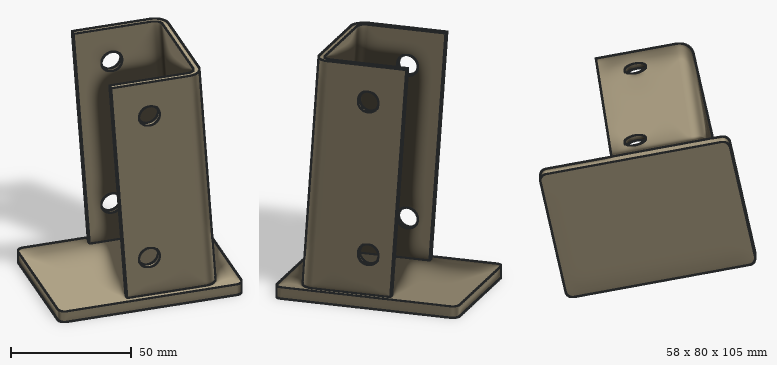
import cadquery as cq

plate_width = 58.0
plate_length = 80.0
plate_thickness = 5.0
plate_corner_radius = 3.0

total_height = 105.0
channel_width = 52.0
channel_depth = 40.0
wall = 2.5
outer_bend_radius = 6.0
inner_bend_radius = outer_bend_radius - wall
lean_angle = 4.0
channel_back_y = 30.5

hole_diameter = 9.0
hole_y = 0.0
lower_hole_z = 22.5
hole_spacing = 66.7


def make_plate():
    plate = cq.Workplane("XY").box(
        plate_width, plate_length, plate_thickness, centered=(True, True, False)
    )
    return plate.edges("|Z").fillet(plate_corner_radius)


def u_block(width, depth, back_y, length, bend_radius):
    """Upright block centred on Z = 0 with its two back edges rounded."""
    block = cq.Workplane("XY").box(width, depth, length)
    block = block.translate((0, back_y - depth / 2, 0))
    return block.edges("|Z and >Y").fillet(bend_radius)


def make_channel():
    raw_length = 3 * total_height
    outer = u_block(channel_width, channel_depth, 0, raw_length, outer_bend_radius)
    inner = u_block(channel_width - 2 * wall, channel_depth, -wall, raw_length, inner_bend_radius)
    channel = outer.cut(inner)
    channel = channel.rotate((0, 0, 0), (1, 0, 0), lean_angle)
    channel = channel.translate((0, channel_back_y, plate_thickness))

    trim_span = 2 * plate_length
    trim = cq.Workplane("XY").workplane(offset=plate_thickness)
    trim = trim.rect(trim_span, trim_span).extrude(total_height - plate_thickness)
    return channel.intersect(trim)


def make_holes():
    hole_centers = [(hole_y, lower_hole_z + i * hole_spacing) for i in range(2)]
    holes = cq.Workplane("YZ").pushPoints(hole_centers).circle(hole_diameter / 2)
    return holes.extrude(channel_width, both=True)


result = make_plate().union(make_channel().cut(make_holes()))